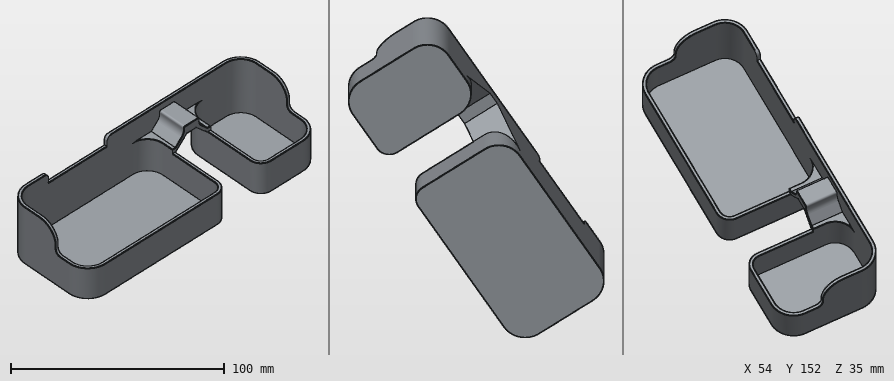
import cadquery as cq
import math

width = 54.0
length = 152.0
height = 35.0
wall = 2.0
floor = 2.0
low_rim = 19.0
edge_break = 0.33

long_tray_end = 91.5
short_tray_start = 112.5
gap_middle = (long_tray_end + short_tray_start) / 2
corner_radius = 12.0
gap_corner_radius = 7.0

step_x = 32.8
step_top_radius = 11.0
step_foot_radius = 3.0

notch_start = 25.1
notch_end = 63.0
notch_floor = 29.0
notch_radius = 3.0

bridge_width = 18.4
bridge_start = long_tray_end - corner_radius
bridge_end = short_tray_start + corner_radius
arch_top = 26.0
arch_half_width = 3.0
arch_foot = arch_top + arch_half_width - (bridge_end - gap_middle)
deck_rim = 21.5
block_top = 31.0
block_half_width = arch_half_width + wall
block_top_radius = 1.0
block_foot_radius = 5.0

tolerance = 0.02


def tray_plan(start, end, start_radius, end_radius, inset):
    """Closed plan of a tray between two Y positions; the two radii are those of its +X corners."""
    left, right = inset, width - inset
    low, high = start + inset, end - inset
    left_radius = corner_radius - inset
    low_radius = start_radius - inset
    high_radius = end_radius - inset
    return (
        cq.Workplane("XY")
        .moveTo(left + left_radius, low)
        .lineTo(right - low_radius, low)
        .radiusArc((right, low + low_radius), -low_radius)
        .lineTo(right, high - high_radius)
        .radiusArc((right - high_radius, high), -high_radius)
        .lineTo(left + left_radius, high)
        .radiusArc((left, high - left_radius), -left_radius)
        .lineTo(left, low + left_radius)
        .radiusArc((left + left_radius, low), -left_radius)
        .close()
    )


def tray_blocks(inset):
    """Full-height blocks of both trays, shrunk sideways by the inset."""
    long_plan = tray_plan(0, long_tray_end, corner_radius, gap_corner_radius, inset)
    short_plan = tray_plan(short_tray_start, length, gap_corner_radius, corner_radius, inset)
    return long_plan.extrude(height).union(short_plan.extrude(height))


def cavities():
    """Insides of both trays, open at the top."""
    return tray_blocks(wall).translate((0, 0, floor))


def space_above_low_rim():
    """Space above the low rim: beyond the rounded step, and over the walls facing the gap."""
    beyond_step = (
        cq.Workplane("XZ")
        .moveTo(step_x - step_top_radius, height)
        .radiusArc((step_x, height - step_top_radius), step_top_radius)
        .lineTo(step_x, low_rim + step_foot_radius)
        .radiusArc((step_x + step_foot_radius, low_rim), -step_foot_radius)
        .lineTo(width, low_rim)
        .lineTo(width, height)
        .close()
        .extrude(-length)
    )
    over_gap_walls = cq.Workplane("XY").box(
        width, bridge_end - bridge_start, height - low_rim, centered=False
    ).translate((0, bridge_start, low_rim))
    return beyond_step.union(over_gap_walls)


def runs_along_rim(edge):
    """True for edges along the tray rims, not for those across a wall or where the rim drops at the gap."""
    center = edge.Center()
    box = edge.BoundingBox()
    above_low_rim = center.z > low_rim - tolerance
    crosses_wall = box.xlen < tolerance and abs(box.ylen - wall) < tolerance
    at_drop = min(abs(center.y - bridge_start), abs(center.y - bridge_end)) < tolerance
    return above_low_rim and not crosses_wall and not at_drop


def trays():
    """Both hollow trays with their rims and outer bottom edges broken."""
    blocks = tray_blocks(0).faces("<Z").chamfer(edge_break)
    hollow = blocks.cut(cavities()).cut(space_above_low_rim())
    return hollow.edges().filter(runs_along_rim).chamfer(edge_break)


def bridge_slab(upper_points, depth):
    """Slab from X = 0 toward +X: the given (Y, Z) upper outline over the 45 degree arch."""
    arch = [
        (bridge_end, arch_foot),
        (gap_middle + arch_half_width, arch_top),
        (gap_middle - arch_half_width, arch_top),
        (bridge_start, arch_foot),
    ]
    return cq.Workplane("YZ").polyline(upper_points + arch).close().extrude(depth)


def is_upper_edge(edge):
    """True for edges on the upper outline of the deck."""
    level = edge.Center().z
    return level > deck_rim - tolerance and abs(level - arch_top) > tolerance


def is_cavity_edge(edge):
    """True for the deck edges bordering a tray cavity."""
    center = edge.Center()
    gap_half_width = short_tray_start - gap_middle
    inside_tray = abs(center.y - gap_middle) > gap_half_width + wall - tolerance
    return inside_tray and center.x > wall and abs(center.z - deck_rim) < tolerance


def deck():
    """Deck with slopes one wall thick and a raised block in the middle."""
    slope_peak = arch_top + arch_half_width + wall * math.sqrt(2)
    slope_top = slope_peak - block_half_width
    rim_half_width = slope_peak - deck_rim
    body = bridge_slab(
        [
            (bridge_start, deck_rim),
            (gap_middle - rim_half_width, deck_rim),
            (gap_middle - block_half_width, slope_top),
            (gap_middle - block_half_width, block_top),
            (gap_middle + block_half_width, block_top),
            (gap_middle + block_half_width, slope_top),
            (gap_middle + rim_half_width, deck_rim),
            (bridge_end, deck_rim),
        ],
        bridge_width,
    )
    for side_y in (gap_middle - block_half_width, gap_middle + block_half_width):
        for level, radius in ((block_top, block_top_radius), (slope_top, block_foot_radius)):
            edge = cq.selectors.NearestToPointSelector((bridge_width / 2, side_y, level))
            body = body.edges("|X").edges(edge).fillet(radius)
    body = body.faces(">X").edges().filter(is_upper_edge).chamfer(edge_break)
    body = body.cut(cavities())
    return body.edges("not |Y").filter(is_cavity_edge).chamfer(edge_break)


def tall_wall():
    """Full-height wall along X = 0 linking the trays."""
    linking_wall = bridge_slab([(bridge_start, height), (bridge_end, height)], wall)
    return linking_wall.faces(">Z").edges("|Y").chamfer(edge_break)


def cut_notch(part):
    """Cut the notch with rounded shoulders through the tall wall and break the edges of its floor."""
    notch = (
        cq.Workplane("YZ")
        .moveTo(notch_start - notch_radius, height)
        .radiusArc((notch_start, height - notch_radius), notch_radius)
        .lineTo(notch_start, notch_floor)
        .lineTo(notch_end, notch_floor)
        .lineTo(notch_end, height - notch_radius)
        .radiusArc((notch_end + notch_radius, height), notch_radius)
        .close()
        .extrude(wall)
    )
    notched = part.cut(notch)
    floor_edges = notched.edges("|Y").filter(lambda edge: abs(edge.Center().z - notch_floor) < tolerance)
    return floor_edges.chamfer(edge_break)


result = cut_notch(trays().union(deck()).union(tall_wall()))